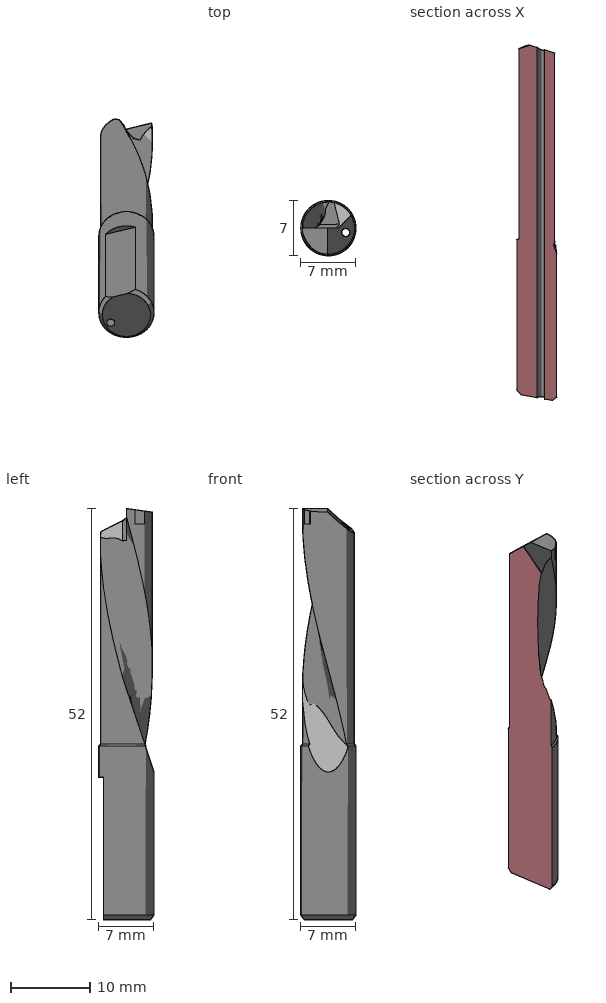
import cadquery as cq
import math

length = 52.0
shank_diameter = 7.0
body_diameter = 6.6
shank_length = 22.0
shoulder_bevel = 0.2
tail_chamfer_height = 0.6
tail_chamfer_width = 0.45
shank_radius = shank_diameter / 2
body_radius = body_diameter / 2

flat_offset = 2.9
flat_length = 18.0

coolant_diameter = 1.0
coolant_x = 2.2
coolant_y = -0.55

twist_per_mm = 4.65
flute_reference_z = 51.0
leading_angle = 180.0
trailing_angle = 77.0
flute_floor_start = (-1.9, 0.4)
flute_floor_middle = (-0.45, 1.2)
flute_floor_end = (0.2, 2.45)
flute_reach = 6.0
flute_outer_reach = 8.4
flute_bottom_z = 17.0
flute_top_z = length + 1.0

runout_start_z = 18.7
runout_slope = 3.0

point_apex_x = -0.1
point_slope = 0.92
point_relief = 0.14

gash_wall_points = ((1.35, 0.5, 50.4), (0.8, 3.2, 49.15), (0.25, 2.4, 48.8))
gash_strip_points = ((-0.3, 0.5, 48.7), (-0.3, 0.0, 49.5), (1.35, 0.5, 50.4))

heel_points = ((1.3, 0.0, 50.75), (2.5, 1.5, 49.65), (0.7, 3.2, 49.1))

clearance_radius = 3.23
clearance_height = 1.95
clearance_start_y = -1.1
clearance_end_y = -2.3

cutter_size = 40.0


def on_circle(radius, angle):
    turn = math.radians(angle)
    return (radius * math.cos(turn), radius * math.sin(turn))


def half_space_above(points):
    """Block above the plane through three points, listed so that its normal points up."""
    first, second, third = [cq.Vector(*point) for point in points]
    along = second - first
    plane = cq.Plane(first, along, along.cross(third - first))
    return cq.Workplane(plane).rect(cutter_size, cutter_size).extrude(cutter_size)


def make_blank():
    return (
        cq.Workplane("XZ")
        .lineTo(shank_radius - tail_chamfer_width, 0)
        .lineTo(shank_radius, tail_chamfer_height)
        .lineTo(shank_radius, shank_length)
        .lineTo(body_radius, shank_length + shoulder_bevel)
        .lineTo(body_radius, length)
        .lineTo(0, length)
        .close()
        .revolve(360, (0, 0, 0), (0, 1, 0))
    )


def make_flat_cutter():
    return (
        cq.Workplane("XY")
        .box(cutter_size, cutter_size, flat_length, centered=(True, False, False))
        .translate((0, flat_offset, 0))
    )


def make_coolant_hole():
    return cq.Workplane("XY").center(coolant_x, coolant_y).circle(coolant_diameter / 2).extrude(length)


def make_flute():
    height = flute_top_z - flute_bottom_z
    bottom_turn = twist_per_mm * (flute_reference_z - flute_bottom_z)
    middle_angle = (trailing_angle + leading_angle) / 2
    helix = (
        cq.Workplane("XY")
        .moveTo(*flute_floor_start)
        .threePointArc(flute_floor_middle, flute_floor_end)
        .lineTo(*on_circle(body_radius, trailing_angle))
        .lineTo(*on_circle(flute_reach, trailing_angle))
        .lineTo(*on_circle(flute_outer_reach, middle_angle))
        .lineTo(*on_circle(flute_reach, leading_angle))
        .lineTo(*on_circle(body_radius, leading_angle))
        .close()
        .twistExtrude(height, -twist_per_mm * height)
        .rotate((0, 0, 0), (0, 0, 1), bottom_turn)
        .translate((0, 0, flute_bottom_z))
    )
    runout = cq.Plane((0, -shank_radius, runout_start_z), (1, 0, 0), (0, -runout_slope, 1))
    above_runout = cq.Workplane(runout).rect(4 * cutter_size, 4 * cutter_size).extrude(2 * cutter_size)
    return helix.intersect(above_runout)


def make_point_cutter():
    apex = (point_apex_x, 0, length)
    left = cq.Plane(apex, (1, 0, 0), (0, -point_relief, 1))
    right = cq.Plane(apex, (1, 0, -point_slope), (point_slope, -point_relief, 1))
    above_left = cq.Workplane(left).rect(cutter_size, cutter_size).extrude(cutter_size)
    above_right = cq.Workplane(right).rect(cutter_size, cutter_size).extrude(cutter_size)
    return above_left.union(above_right)


def make_gash():
    behind = (
        cq.Workplane("XY")
        .box(cutter_size, cutter_size, cutter_size, centered=(True, False, True))
        .translate((0, 0, length))
    )
    wall_cut = half_space_above(gash_wall_points).intersect(half_space_above(gash_strip_points))
    return wall_cut.union(half_space_above(heel_points)).intersect(behind)


def make_corner_clearance():
    bottom_z = length - clearance_height
    width = clearance_start_y - clearance_end_y
    block = (
        cq.Workplane("XY")
        .box(shank_diameter, width, clearance_height, centered=False)
        .translate((-shank_diameter, clearance_end_y, bottom_z))
    )
    core = cq.Workplane("XY").workplane(offset=bottom_z).circle(clearance_radius).extrude(clearance_height)
    return block.cut(core)


result = (
    make_blank()
    .cut(make_point_cutter())
    .cut(make_flute())
    .cut(make_gash())
    .cut(make_corner_clearance())
    .cut(make_flat_cutter())
    .cut(make_coolant_hole())
)